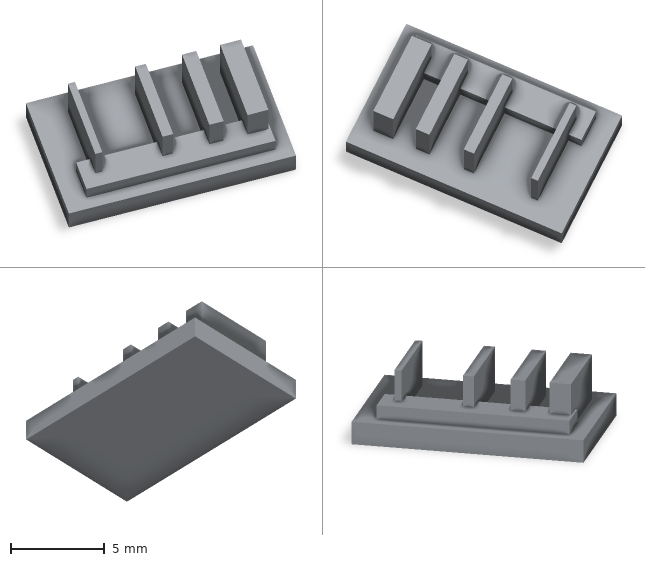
import cadquery as cq

base_width = 7.62
base_length = 12.7
base_height = 1.27

total_height = 3.81
fin_height = total_height - base_height
fin_left = 1.21
fin_width = 4.85
fins = [
    (1.97, 0.4),
    (5.73, 0.6),
    (8.35, 0.8),
    (10.48, 1.17),
]

rail_left = 5.08
rail_width = 1.83
rail_front = 1.21
rail_length = 10.57
rail_height = 0.79


def block_on_base(left, front, width, length, height):
    """Rectangular block standing on the top face of the base."""
    block = cq.Workplane("XY").box(width, length, height, centered=False)
    return block.translate((left, front, base_height))


result = cq.Workplane("XY").box(base_width, base_length, base_height, centered=False)

result = result.union(block_on_base(rail_left, rail_front, rail_width, rail_length, rail_height))

for fin_front, fin_thickness in fins:
    result = result.union(block_on_base(fin_left, fin_front, fin_width, fin_thickness, fin_height))